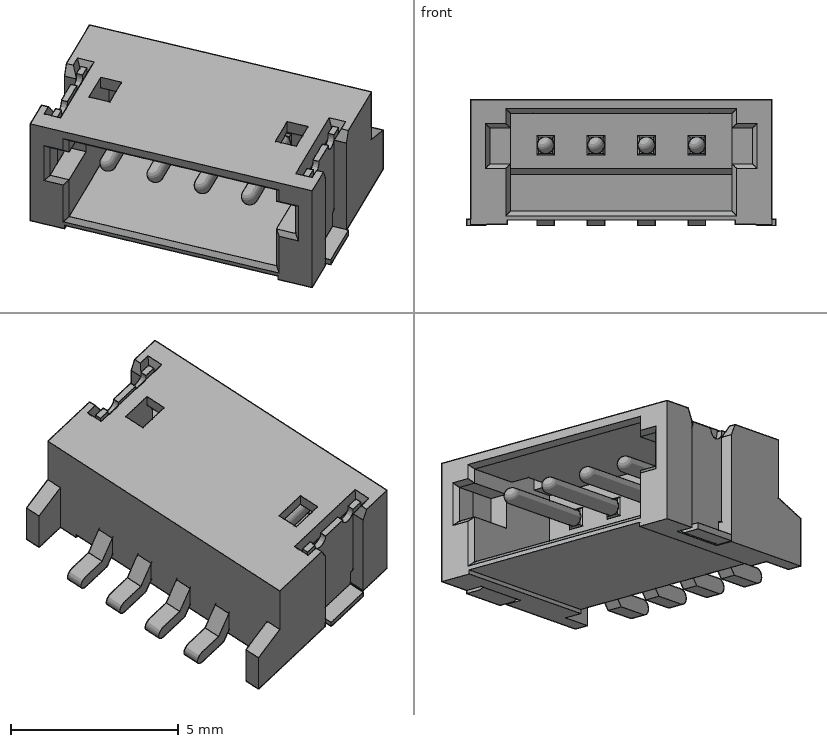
import cadquery as cq


TOTAL_LENGTH = 9.21
TOTAL_DEPTH = 6.47
TOTAL_HEIGHT = 3.75

HOUSING_LENGTH = 8.97
HOUSING_DEPTH = 5.0
HOUSING_BOTTOM = 0.04
BELLY_BOTTOM = 0.17
BELLY_LENGTH = 6.78

EAR_WIDTH = 0.49
EAR_END = 6.0
EAR_FRONT_HEIGHT = 1.925
EAR_END_HEIGHT = 1.53

MOUTH_FLARE = 0.14
CAVITY_LENGTH = 6.59
CAVITY_FLOOR = 0.43
CAVITY_CEILING = 3.34
CAVITY_DEPTH = 3.5
LOWER_BACK_SETBACK = 0.11
LOWER_BACK_TOP = 1.53
UPPER_BACK_BOTTOM = 1.695
SIDE_BAY_LENGTH = 7.81
SIDE_BAY_FLOOR = 1.84
SIDE_BAY_CEILING = 2.9
SIDE_BAY_DEPTH = 1.56

WINDOW_LENGTH = 0.66
WINDOW_FRONT = 1.805
WINDOW_BACK = 2.8

TAB_CENTER_Y = 2.0
TAB_THICKNESS = 0.19
TAB_INNER_X = SIDE_BAY_LENGTH / 2
TAB_OUTER_X = TAB_INNER_X + TAB_THICKNESS
TAB_WIDTH = 2.49
TAB_SHOULDER_BOTTOM = 0.74
TAB_SHOULDER_TOP = 3.6
TAB_CREST_TOP = 3.555
TAB_CREST_WIDTH = 0.8
TAB_NOTCH_DEPTH = 0.27
FOOT_WIDTH = 1.5
FOOT_CORNER_RADIUS = 0.07
FOOT_BEND_RADIUS = 0.2

SLOT_OPENING_WIDTH = 1.77
SLOT_FLARE = 0.17
SLOT_FLARE_DEPTH = 0.36
NOTCH_RADIUS = (SLOT_OPENING_WIDTH - TAB_CREST_WIDTH) / 4

PIN_COUNT = 4
PIN_PITCH = 1.5
PIN_Z = 2.39
PIN_DIAMETER = 0.5
PIN_TIP_Y = 0.405
SHANK_WIDTH = 0.525
SHANK_HEIGHT = 0.59
SHANK_CHAMFER = 0.055
SHANK_START_Y = CAVITY_DEPTH - SHANK_CHAMFER
TAIL_THICKNESS = 0.48
TAIL_BEND_Y = 5.48
TAIL_HEEL_Y = TAIL_BEND_Y - TAIL_THICKNESS / 2
SLOPE_RUN_PER_RISE = 0.75


def box(x0, x1, y0, y1, z0, z1):
    """Box between two opposite corners."""
    return cq.Workplane("XY").box(x1 - x0, y1 - y0, z1 - z0, centered=False).translate((x0, y0, z0))


def flared_mouth(half_length, z0, z1):
    """Frustum at the front face that narrows to the given opening."""
    height = z1 - z0
    return (
        cq.Workplane("XZ", origin=(0, 0, (z0 + z1) / 2))
        .rect(2 * (half_length + MOUTH_FLARE), height + 2 * MOUTH_FLARE)
        .workplane(offset=-MOUTH_FLARE)
        .rect(2 * half_length, height)
        .loft(ruled=True)
    )


def flared_slot_top(x0, x1, width):
    """Frustum at the top face that narrows downwards to the given slot."""
    return (
        cq.Workplane("XY", origin=((x0 + x1) / 2, TAB_CENTER_Y, TOTAL_HEIGHT))
        .rect(x1 - x0 + 2 * SLOT_FLARE, width + 2 * SLOT_FLARE)
        .workplane(offset=-SLOT_FLARE_DEPTH)
        .rect(x1 - x0, width)
        .loft(ruled=True)
    )


def make_cavity():
    half = CAVITY_LENGTH / 2
    lower_back = CAVITY_DEPTH + LOWER_BACK_SETBACK
    main = (
        cq.Workplane("YZ", origin=(-half, 0, 0))
        .polyline([
            (0, CAVITY_FLOOR),
            (lower_back, CAVITY_FLOOR),
            (lower_back, LOWER_BACK_TOP),
            (CAVITY_DEPTH, UPPER_BACK_BOTTOM),
            (CAVITY_DEPTH, CAVITY_CEILING),
            (0, CAVITY_CEILING),
        ])
        .close()
        .extrude(CAVITY_LENGTH)
    )
    bay_half = SIDE_BAY_LENGTH / 2
    bays = box(-bay_half, bay_half, 0, SIDE_BAY_DEPTH, SIDE_BAY_FLOOR, SIDE_BAY_CEILING)
    main_mouth = flared_mouth(half, CAVITY_FLOOR, CAVITY_CEILING)
    bay_mouth = flared_mouth(bay_half, SIDE_BAY_FLOOR, SIDE_BAY_CEILING)
    return main.union(bays).union(main_mouth).union(bay_mouth)


def make_tab_slot():
    """Slot on the +X side: a pocket for the tab, open to the outside over its middle."""
    outside = HOUSING_LENGTH / 2 + SLOT_FLARE
    pocket = box(
        TAB_INNER_X, TAB_OUTER_X,
        TAB_CENTER_Y - TAB_WIDTH / 2, TAB_CENTER_Y + TAB_WIDTH / 2,
        TAB_SHOULDER_BOTTOM, TOTAL_HEIGHT,
    )
    opening = box(
        TAB_INNER_X, outside,
        TAB_CENTER_Y - SLOT_OPENING_WIDTH / 2, TAB_CENTER_Y + SLOT_OPENING_WIDTH / 2,
        0, TOTAL_HEIGHT,
    )
    pocket_flare = flared_slot_top(TAB_INNER_X, TAB_OUTER_X, TAB_WIDTH)
    opening_flare = flared_slot_top(TAB_INNER_X, outside, SLOT_OPENING_WIDTH)
    return pocket.union(opening).union(pocket_flare).union(opening_flare)


def make_ear():
    """Ear behind the +X end of the housing, with a sloping top."""
    return (
        cq.Workplane("YZ", origin=(HOUSING_LENGTH / 2 - EAR_WIDTH, 0, 0))
        .polyline([
            (HOUSING_DEPTH, HOUSING_BOTTOM),
            (EAR_END, HOUSING_BOTTOM),
            (EAR_END, EAR_END_HEIGHT),
            (HOUSING_DEPTH, EAR_FRONT_HEIGHT),
        ])
        .close()
        .extrude(EAR_WIDTH)
    )


def make_window():
    """Window on the +X side, flush with the end wall of the cavity."""
    outer = CAVITY_LENGTH / 2
    return box(outer - WINDOW_LENGTH, outer, WINDOW_FRONT, WINDOW_BACK, CAVITY_CEILING, TOTAL_HEIGHT)


def make_housing(pins):
    half = HOUSING_LENGTH / 2
    belly = BELLY_LENGTH / 2
    housing = box(-half, half, 0, HOUSING_DEPTH, HOUSING_BOTTOM, TOTAL_HEIGHT)
    housing = housing.cut(box(-belly, belly, 0, HOUSING_DEPTH, HOUSING_BOTTOM, BELLY_BOTTOM))
    ear = make_ear()
    housing = housing.union(ear).union(ear.mirror("YZ"))
    housing = housing.cut(make_cavity())
    for cutter in (make_tab_slot(), make_window()):
        housing = housing.cut(cutter).cut(cutter.mirror("YZ"))
    for pin in pins:
        housing = housing.cut(pin)
    return housing


def make_pin(x):
    """Pin with a round domed contact, a rectangular shank and a tail bent down to the board."""
    radius = PIN_DIAMETER / 2
    contact = (
        cq.Workplane("XY")
        .moveTo(0, PIN_TIP_Y)
        .radiusArc((radius, PIN_TIP_Y + radius), -radius)
        .lineTo(radius, SHANK_START_Y)
        .lineTo(0, SHANK_START_Y)
        .close()
        .revolve(360, (0, 0, 0), (0, 1, 0))
        .translate((0, 0, PIN_Z))
    )
    shank_top = PIN_Z + SHANK_HEIGHT / 2
    shank_bottom = PIN_Z - SHANK_HEIGHT / 2
    tail_end = TOTAL_DEPTH - TAIL_THICKNESS / 2
    body = (
        cq.Workplane("YZ", origin=(-SHANK_WIDTH / 2, 0, 0))
        .moveTo(SHANK_START_Y, shank_bottom)
        .lineTo(TAIL_HEEL_Y - SLOPE_RUN_PER_RISE * shank_bottom, shank_bottom)
        .lineTo(TAIL_HEEL_Y, 0)
        .lineTo(tail_end, 0)
        .threePointArc((TOTAL_DEPTH, TAIL_THICKNESS / 2), (tail_end, TAIL_THICKNESS))
        .lineTo(TAIL_BEND_Y, TAIL_THICKNESS)
        .lineTo(TAIL_BEND_Y - SLOPE_RUN_PER_RISE * (shank_top - TAIL_THICKNESS), shank_top)
        .lineTo(SHANK_START_Y, shank_top)
        .close()
        .extrude(SHANK_WIDTH)
        .faces("<Y")
        .chamfer(SHANK_CHAMFER)
    )
    return contact.union(body).translate((x, 0, 0))


def make_tab():
    """Solder tab on the +X side: an upright plate with a foot bent outwards along the board."""
    half = TAB_WIDTH / 2
    opening = SLOT_OPENING_WIDTH / 2
    crest = TAB_CREST_WIDTH / 2
    foot = FOOT_WIDTH / 2
    notch_center = crest + NOTCH_RADIUS
    notch_z = TAB_CREST_TOP - TAB_NOTCH_DEPTH + NOTCH_RADIUS
    plate = (
        cq.Workplane("YZ", origin=(TAB_INNER_X, TAB_CENTER_Y, 0))
        .moveTo(-foot, 0)
        .lineTo(foot, 0)
        .lineTo(foot, TAB_SHOULDER_BOTTOM)
        .lineTo(half, TAB_SHOULDER_BOTTOM)
        .lineTo(half, TAB_SHOULDER_TOP)
        .lineTo(opening, TAB_SHOULDER_TOP)
        .lineTo(opening, notch_z)
        .threePointArc((notch_center, notch_z - NOTCH_RADIUS), (crest, notch_z))
        .lineTo(crest, TAB_CREST_TOP)
        .lineTo(-crest, TAB_CREST_TOP)
        .lineTo(-crest, notch_z)
        .threePointArc((-notch_center, notch_z - NOTCH_RADIUS), (-opening, notch_z))
        .lineTo(-opening, TAB_SHOULDER_TOP)
        .lineTo(-half, TAB_SHOULDER_TOP)
        .lineTo(-half, TAB_SHOULDER_BOTTOM)
        .lineTo(-foot, TAB_SHOULDER_BOTTOM)
        .close()
        .extrude(TAB_THICKNESS)
    )
    inner_corners = [
        (TAB_INNER_X + TAB_THICKNESS / 2, TAB_CENTER_Y + side * foot, TAB_SHOULDER_BOTTOM)
        for side in (-1, 1)
    ]
    for corner in inner_corners:
        plate = plate.edges(cq.selectors.NearestToPointSelector(corner)).fillet(FOOT_CORNER_RADIUS)
    foot_plate = box(
        TAB_INNER_X, TOTAL_LENGTH / 2, TAB_CENTER_Y - foot, TAB_CENTER_Y + foot, 0, TAB_THICKNESS
    )
    heel = cq.selectors.NearestToPointSelector((TAB_INNER_X, TAB_CENTER_Y, 0))
    return plate.union(foot_plate).edges(heel).fillet(FOOT_BEND_RADIUS)


pins = [make_pin((index - (PIN_COUNT - 1) / 2) * PIN_PITCH) for index in range(PIN_COUNT)]
tab = make_tab()
tabs = [tab, tab.mirror("YZ")]
housing = make_housing(pins)

result = cq.Compound.makeCompound([
    housing.val(),
    *[pin.val() for pin in pins],
    *[side_tab.val() for side_tab in tabs],
])